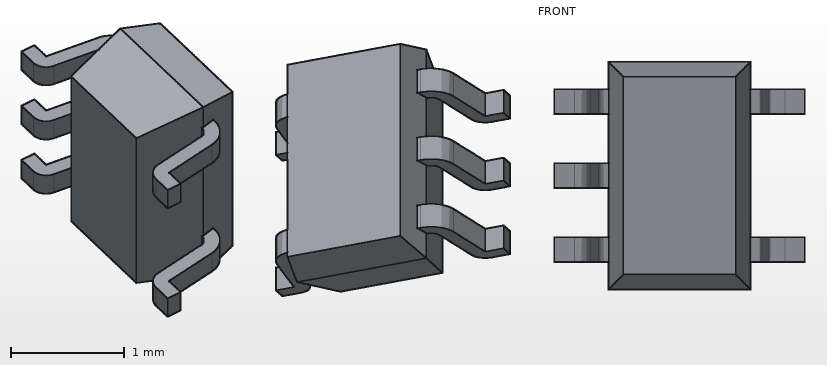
import cadquery as cq
import math


SPAN_X = 2.2
DEPTH_Y = 1.1
HEIGHT_Z = 2.0

HOUSING_WIDTH = 1.25
DRAFT_ANGLE = 12.0
BACK_Y = DEPTH_Y / 2
BACK_HALF_DEPTH = 0.375
STANDOFF = 0.1
PARTING_Y = BACK_Y - BACK_HALF_DEPTH
FOOT_Y = -DEPTH_Y / 2
FRONT_Y = FOOT_Y + STANDOFF
FRONT_HALF_DEPTH = PARTING_Y - FRONT_Y

LEAD_THICKNESS = 0.14
LEAD_WIDTH = 0.22
LEAD_PITCH = 0.65
FOOT_LENGTH = 0.175
SHOULDER_Y = 0.304
SHOULDER_RADIUS = 0.229
EMBED_DEPTH = 0.132
LEFT_ROWS = (-1, 0, 1)
RIGHT_ROWS = (-1, 1)


def make_housing_half(depth, direction):
    """Tapered block growing from the parting plane; direction is +1 for +Y and -1 for -Y."""
    normal = (0, direction, 0)
    plane = cq.Plane(origin=(0, PARTING_Y, 0), xDir=(1, 0, 0), normal=normal)
    return cq.Workplane(plane).rect(HOUSING_WIDTH, HEIGHT_Z).extrude(depth, taper=DRAFT_ANGLE)


def make_left_lead(center_z):
    """Gull-wing lead on the -X side: foot, sloped leg and rounded shoulder."""
    tip_x = -SPAN_X / 2
    end_x = -HOUSING_WIDTH / 2 + EMBED_DEPTH
    heel_x = tip_x + FOOT_LENGTH
    heel_y = FOOT_Y + LEAD_THICKNESS
    bend_x = -HOUSING_WIDTH / 2
    bend_y = SHOULDER_Y - SHOULDER_RADIUS
    inner_radius = SHOULDER_RADIUS - LEAD_THICKNESS

    run = bend_x - heel_x
    rise = bend_y - heel_y
    slope = math.atan2(run, rise) - math.asin(SHOULDER_RADIUS / math.hypot(run, rise))

    def shoulder_point(radius, angle):
        """Point on the shoulder bend; angle 0 is -X and 90 degrees is +Y."""
        return (bend_x - radius * math.cos(angle), bend_y + radius * math.sin(angle))

    def heel_point(angle):
        """Point on the foot bend; angle 0 is +X and 90 degrees is -Y."""
        return (heel_x + LEAD_THICKNESS * math.cos(angle), heel_y - LEAD_THICKNESS * math.sin(angle))

    quarter = math.pi / 2
    middle = (slope + quarter) / 2
    return (
        cq.Workplane("XY", origin=(0, 0, center_z - LEAD_WIDTH / 2))
        .moveTo(tip_x, FOOT_Y)
        .lineTo(tip_x, heel_y)
        .lineTo(heel_x, heel_y)
        .lineTo(*shoulder_point(SHOULDER_RADIUS, slope))
        .threePointArc(shoulder_point(SHOULDER_RADIUS, middle), shoulder_point(SHOULDER_RADIUS, quarter))
        .lineTo(end_x, SHOULDER_Y)
        .lineTo(end_x, SHOULDER_Y - LEAD_THICKNESS)
        .lineTo(*shoulder_point(inner_radius, quarter))
        .threePointArc(shoulder_point(inner_radius, middle), shoulder_point(inner_radius, slope))
        .lineTo(*heel_point(slope))
        .threePointArc(heel_point(middle), heel_point(quarter))
        .close()
        .extrude(LEAD_WIDTH)
    )


leads = []
for row in LEFT_ROWS:
    leads.append(make_left_lead(row * LEAD_PITCH))
for row in RIGHT_ROWS:
    leads.append(make_left_lead(row * LEAD_PITCH).mirror("YZ"))

back_half = make_housing_half(BACK_HALF_DEPTH, 1)
front_half = make_housing_half(FRONT_HALF_DEPTH, -1)
for lead in leads:
    back_half = back_half.cut(lead)
    front_half = front_half.cut(lead)

result = cq.Compound.makeCompound(
    [back_half.solids().val(), front_half.solids().val(), *[lead.val() for lead in leads]]
)